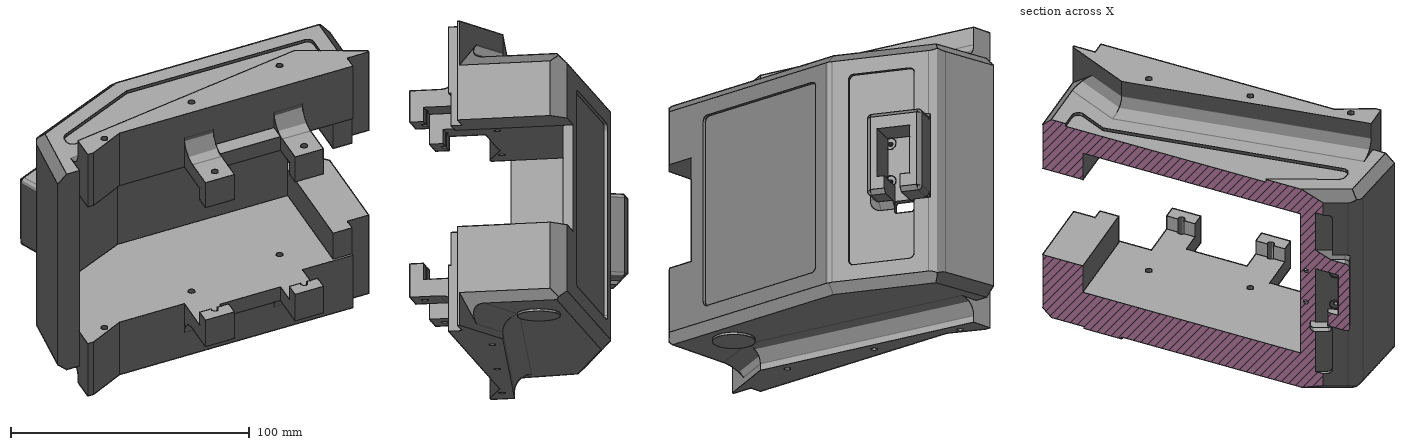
import cadquery as cq
import math

back_x = 50.5
length = 145.2
step_x = 45.7
step_y = 135.4
slant_start_y = 47.5
slant_angle = 24.0
slant_end_y = 3.0
body_bottom = 10.0
body_top = 116.0
body_chamfer = 4.0
corner_chamfer = 6.1
corner_radius = 7.1

height = 131.0
mid_z = height / 2
flange_depth = 28.5
flange_x = 51.5
flange_tip_x = 59.0
flange_end_y = 10.0
flange_tip_y = 12.6
flange_taper_y = 28.0
flange_nose = (32.1, 117.0)
flange_front_x = 49.0
flange_rear_x = 44.9
root_radius = 7.1
screw_diameter = 2.8
screw_points = [(38.5, 107.5), (45.3, 63.9), (52.1, 20.8)]

wall = 4.4
notch_start_y = 126.6
notch_height = 45.9

panel_depth = 1.5
panel_margin = 10.7
panel_radius = 2.3
side_panel_start_y = 54.9
side_panel_end_y = 119.7
top_panel_flange_gap = 14.1
top_panel_radius = 2.9
slant_panel_start = 8.9
slant_panel_end = 38.0

box_center = 33.1
box_center_z = 64.8
box_width = 24.3
box_height = 35.9
box_rise = 12.2
box_edge = 1.9
flare = 2.9
socket_width = 14.5
socket_height = 21.2
cable_slot_center = 32.5
cable_slot_width = 7.0
cable_hole_width = 8.7
cable_hole_height = 5.2
cable_hole_bottom = 42.0
cable_hole_radius = 1.2
seat_spacing = (12.5, 16.7)
seat_diameter = 5.1
seat_depth = 0.7
seat_hole_diameter = 1.7

hook_ranges = [(99.0, 112.1), (57.8, 71.2)]
hook_end_x = 72.9
hook_tab_x = 67.1
hook_arm_thickness = 7.4
hook_root_radius = 8.3
upper_tab_length = 13.5
lower_tab_length = 14.4
hook_hole_x = 67.7
hook_hole_diameter = 2.9
bridge_x = 58.1

foot_center = (16.5, 117.6)
foot_diameter = 18.0
foot_height = 1.0

reach = 290.5
slack = 1.5
mid_arc = 1 - math.sqrt(0.5)
slant_sin = math.sin(math.radians(slant_angle))
slant_cos = math.cos(math.radians(slant_angle))
slant_end_x = (slant_start_y - slant_end_y) * math.tan(math.radians(slant_angle))
slant_normal = cq.Vector(-slant_cos, -slant_sin, 0)


def box_between(low, high):
    """Axis-aligned box from its lowest to its highest corner."""
    size = [b - a for a, b in zip(low, high)]
    return cq.Workplane("XY").box(*size, centered=False).translate(low)


def mirrored(solid):
    """Copy of a solid mirrored about the middle height of the flanges."""
    return solid.mirror("XY", (0, 0, mid_z))


def body_outline(z, rear_x):
    return cq.Workplane("XY").workplane(offset=z).polyline([
        (0, length), (0, slant_start_y), (slant_end_x, slant_end_y), (rear_x, 0),
        (rear_x, step_y), (step_x, step_y), (step_x, length),
    ]).close()


def flange_outline(z):
    return cq.Workplane("XY").workplane(offset=z).polyline([
        flange_nose, (flange_front_x, flange_end_y), (flange_tip_x, flange_end_y),
        (flange_tip_x, flange_tip_y), (flange_x, flange_taper_y), (flange_x, step_y),
        (step_x, step_y), (step_x, length), (flange_rear_x, length),
    ]).close()


def make_body():
    """Prism with chamfered rims, then rounded and cut at its upright corners."""
    prism = body_outline(body_bottom, back_x).extrude(body_top - body_bottom)
    rims = prism.faces("<Z or >Z").edges().filter(lambda e: e.Center().x < step_x - slack)
    chamfered = rims.chamfer(body_chamfer)
    front_corners = cq.selectors.BoxSelector(
        (-slack, -slack, 0), (slant_end_x + slack, slant_start_y + slack, height)
    )
    rounded = prism.edges("|Z").edges(front_corners).fillet(corner_radius)
    rear_corner = cq.selectors.BoxSelector((-slack, length - slack, 0), (slack, length + slack, height))
    rounded = rounded.edges("|Z").edges(rear_corner).chamfer(corner_chamfer)
    return chamfered.intersect(rounded)


def make_flange():
    """Upper flange, reaching down to the cavity, without the root fillet."""
    return flange_outline(height - flange_depth).extrude(flange_depth)


def make_root(face_z, up):
    """Concave fillet joining a body face to the flange; up is 1 above the body, -1 below."""
    nose_x, nose_y = flange_nose
    slope = (flange_front_x - nose_x) / (nose_y - flange_end_y)
    rear_slope = (flange_rear_x - nose_x) / (length - nose_y)
    overrun = 2 * root_radius
    start = (flange_front_x + overrun * slope, flange_end_y - overrun, face_z)
    end = (flange_rear_x + overrun * rear_slope, length + overrun, face_z)
    path = cq.Workplane("XY").polyline([start, (nose_x, nose_y, face_z), end])
    plane = cq.Plane(origin=start, xDir=(-1, -slope, 0), normal=(-slope, 1, 0))
    rise = up * root_radius
    strip = (
        cq.Workplane(plane).lineTo(root_radius, 0)
        .threePointArc((root_radius * mid_arc, rise * mid_arc), (0, rise)).close()
        .sweep(path, transition="right")
    )
    slope_y = length - body_chamfer
    limits = (
        cq.Workplane("YZ")
        .polyline([
            (flange_end_y, face_z), (slope_y, face_z),
            (slope_y - root_radius, face_z + rise), (flange_end_y, face_z + rise),
        ]).close().extrude(flange_x)
    )
    return strip.intersect(limits)


def make_hook(y_range, tab_length):
    """Upper hook: an arm with a concave root and a tab hanging from its end."""
    y_low, y_high = y_range
    arm_bottom = height - flange_depth
    arm_top = arm_bottom + hook_arm_thickness
    root_end = flange_x + hook_root_radius
    bend = hook_root_radius * mid_arc
    return (
        cq.Workplane("XZ", origin=(0, y_high, 0))
        .moveTo(flange_x - slack, arm_bottom).lineTo(hook_tab_x, arm_bottom)
        .lineTo(hook_tab_x, arm_top - tab_length).lineTo(hook_end_x, arm_top - tab_length)
        .lineTo(hook_end_x, arm_top).lineTo(root_end, arm_top)
        .threePointArc((flange_x + bend, arm_top + bend), (flange_x, arm_top + hook_root_radius))
        .lineTo(flange_x - slack, arm_top + hook_root_radius).close()
        .extrude(y_high - y_low)
        .cut(upright_hole((hook_hole_x, (y_low + y_high) / 2), hook_hole_diameter))
    )


def upright_hole(point, diameter):
    return cq.Workplane("XY").center(*point).circle(diameter / 2).extrude(height)


def make_hooks(tab_length):
    upper, lower = hook_ranges
    arm_bottom = height - flange_depth
    bridge = box_between(
        (flange_x - slack, lower[1], arm_bottom), (bridge_x, upper[0], arm_bottom + hook_arm_thickness)
    )
    return make_hook(upper, tab_length).union(make_hook(lower, tab_length)).union(bridge)


def make_cavity():
    outline = body_outline(flange_depth, reach).offset2D(-wall, "intersection")
    inside = outline.extrude(height - 2 * flange_depth)
    return inside.intersect(box_between((0, flange_end_y, 0), (reach / 2, notch_start_y, height)))


def make_notch():
    low = (-slack, notch_start_y, mid_z - notch_height / 2)
    return box_between(low, (reach, reach, mid_z + notch_height / 2))


def make_side_panel():
    low = (0, side_panel_start_y, body_bottom + panel_margin)
    high = (panel_depth, side_panel_end_y, body_top - panel_margin)
    return box_between(low, high).edges("|X").fillet(panel_radius)


def make_top_panel():
    """Recess that keeps an even margin to the body outline and to the flange."""
    z = body_top - panel_depth
    panel = body_outline(z, back_x).offset2D(-panel_margin, "intersection").extrude(panel_depth)
    border = flange_outline(z).offset2D(top_panel_flange_gap, "intersection").extrude(panel_depth)
    panel = panel.cut(border)
    middle_end_y = flange_nose[1] + panel_margin
    end_corners = panel.edges("|Z").filter(lambda e: not slant_start_y < e.Center().y < middle_end_y)
    return end_corners.fillet(top_panel_radius)


def slant_plane(out):
    """Plane parallel to the slanted face: local x runs along it, local y is Z, normal is outward."""
    return cq.Workplane(cq.Plane(
        origin=(-slant_cos * out, slant_start_y - slant_sin * out, 0),
        xDir=(slant_sin, -slant_cos, 0), normal=slant_normal,
    ))


def slant_block(center, size, low, high):
    """Block on the slanted face between two heights above that face."""
    return slant_plane(low).center(*center).rect(*size).extrude(high - low)


def make_slant_panel():
    center = ((slant_panel_start + slant_panel_end) / 2, (body_bottom + body_top) / 2)
    size = (slant_panel_end - slant_panel_start, body_top - body_bottom - 2 * panel_margin)
    corners = slant_plane(-panel_depth).center(*center).sketch().rect(*size).vertices().fillet(panel_radius)
    return corners.finalize().extrude(panel_depth)


def flare_trim(start, center_z, trim_height):
    """Block covering everything in the flare layer beyond a place along the slanted face."""
    center = (start + box_width / 2, center_z)
    return slant_block(center, (box_width, trim_height), -panel_depth, flare - panel_depth)


def make_connector():
    """Box with rounded sides, a chamfered front rim and a base that flares into the panel floor."""
    center = (box_center, box_center_z)
    block = slant_block(center, (box_width, box_height), -panel_depth, box_rise)
    block = block.edges(cq.selectors.ParallelDirSelector(slant_normal)).fillet(box_edge)
    block = block.faces(cq.selectors.DirectionMinMaxSelector(slant_normal)).chamfer(box_edge)
    sides = slant_plane(-panel_depth).center(*center).sketch()
    sides = sides.rect(box_width + 2 * flare, box_height + 2 * flare).vertices().fillet(box_edge + flare)
    base = sides.finalize().extrude(flare, taper=45)
    base = base.cut(flare_trim(box_center + box_width / 2, box_center_z, height))
    slot_end = cable_slot_center + cable_slot_width / 2
    base = base.cut(flare_trim(slot_end, box_center_z - box_height / 2 - flare, 2 * flare))
    return block.union(base)


def make_socket():
    """Deep socket with four screw seats and a cable slot through its lower side."""
    center = (box_center, box_center_z)
    socket = slant_block(center, (socket_width, socket_height), -panel_depth, box_rise + slack)
    seats = slant_plane(-panel_depth - seat_depth).center(*center).rarray(*seat_spacing, 2, 2)
    socket = socket.union(seats.circle(seat_diameter / 2).extrude(seat_depth))
    holes = slant_plane(-wall - slack).center(*center).rarray(*seat_spacing, 2, 2)
    socket = socket.union(holes.circle(seat_hole_diameter / 2).extrude(wall))
    slot_height = box_center_z - cable_hole_bottom
    slot_center = (cable_slot_center, cable_hole_bottom + slot_height / 2)
    slot_size = (cable_slot_width, slot_height)
    return socket.union(slant_block(slot_center, slot_size, -panel_depth, box_rise + slack))


def make_cable_hole():
    """Rounded opening through the wall at the foot of the cable slot."""
    center = (box_center, cable_hole_bottom + cable_hole_height / 2)
    hole = slant_block(center, (cable_hole_width, cable_hole_height), -wall - slack, -panel_depth)
    return hole.edges(cq.selectors.ParallelDirSelector(slant_normal)).fillet(cable_hole_radius)


def make_foot():
    foot = cq.Workplane("XY").workplane(offset=body_bottom - foot_height).center(*foot_center)
    return foot.circle(foot_diameter / 2).extrude(foot_height)


flange = make_flange()
result = make_body().union(flange).union(mirrored(flange))
result = result.union(make_root(body_top, 1)).union(make_root(body_bottom, -1))
result = result.cut(make_cavity()).cut(make_notch())
result = result.cut(make_side_panel()).cut(make_top_panel()).cut(make_slant_panel())
result = result.union(make_connector()).cut(make_socket()).cut(make_cable_hole())
for point in screw_points:
    result = result.cut(upright_hole(point, screw_diameter))
result = result.union(make_hooks(upper_tab_length)).union(mirrored(make_hooks(lower_tab_length)))
result = result.union(make_foot())